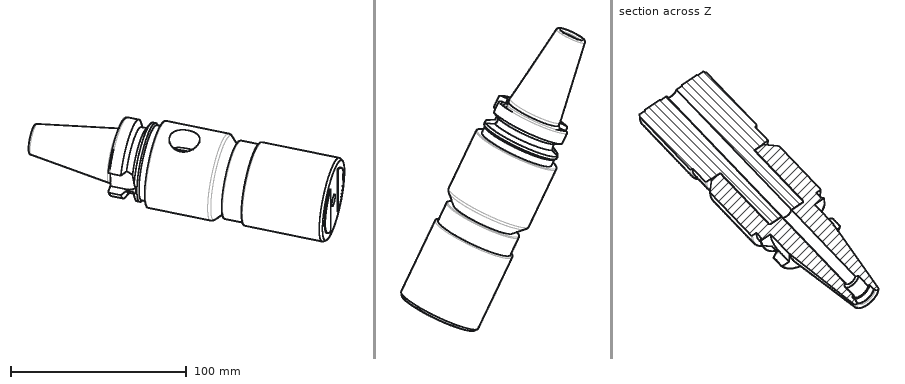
import cadquery as cq
import math

TOTAL_LENGTH = 178.6
THROUGH_BORE_DIAMETER = 7.0

TAPER_LENGTH = 48.8
TAPER_GAUGE_DIAMETER = 31.8
TAPER_END_DIAMETER = 17.7
TAPER_END_RIM_DIAMETER = 15.5

COUNTERBORE_DIAMETER = 13.0
COUNTERBORE_DEPTH = 2.1
PILOT_DIAMETER = 12.5
PILOT_DEPTH = 5.7
CORE_DIAMETER = 10.2
CORE_DEPTH = 14.3
DRILL_POINT_ANGLE = 118.0

FLANGE_DIAMETER = 46.0
FLANGE_START = 50.7
FLANGE_FILLET = 1.0
GROOVE_DIAMETER = 38.2
GROOVE_CENTER = 62.5
GROOVE_FLOOR_WIDTH = 3.8
GROOVE_FLANK_SLOPE = 30.0
FLANGE_END = 69.3
NECK_DIAMETER = 44.0

SLOT_WIDTH = 16.0
SLOT_END = 67.7
SLOT_FLOOR_OFFSET = 16.3

BARREL_DIAMETER = 50.7
BARREL_START = 73.5
BARREL_FILLET = 0.5
BARREL_END = 118.3
BARREL_END_DIAMETER = 37.5
NOSE_ANGLE = 45.0
NOSE_BLEND_RADIUS = 2.3

SCREW_HOLE_DIAMETER = 17.3
SCREW_HOLE_POSITION = 90.0

SHANK_DIAMETER = 24.5
SHANK_START = BARREL_START
CLAMP_FLAT_DEPTH = 0.7
CLAMP_FLAT_TILT = 1.3
CLAMP_FLAT_LENGTH = 21.5

COLLAR_DIAMETER = 45.7
COLLAR_FILLET = 0.5
HEAD_DIAMETER = 48.8
HEAD_START = 130.2
HEAD_FILLET = 0.7
END_CHAMFER_LENGTH = 1.6
END_CHAMFER_DEPTH = 1.0
BOSS_DIAMETER = 38.2
BOSS_HEIGHT = 0.5
BOSS_SLOT_WIDTH = 16.0

FILLET_MIDDLE = 1 - math.sqrt(0.5)


def cylinder_along_x(start, end, diameter):
    return cq.Workplane("YZ").workplane(offset=start).circle(diameter / 2).extrude(end - start)


def revolve_about_x(profile):
    return profile.close().revolve(360, (0, 0, 0), (1, 0, 0))


def holder_outside():
    """Taper, grooved flange and barrel, turned as one profile."""
    gauge_radius = TAPER_GAUGE_DIAMETER / 2
    taper_end_radius = TAPER_END_DIAMETER / 2
    rim_radius = TAPER_END_RIM_DIAMETER / 2
    taper_angle = math.atan((gauge_radius - taper_end_radius) / TAPER_LENGTH)

    end_tangent = taper_end_radius - rim_radius
    end_turn = math.pi / 2 - taper_angle
    end_rounding = end_tangent / math.tan(end_turn / 2)
    end_middle = (
        end_rounding * (1 - math.cos(end_turn / 2)),
        rim_radius + end_rounding * math.sin(end_turn / 2),
    )
    end_finish = (
        end_tangent * math.cos(taper_angle),
        taper_end_radius + end_tangent * math.sin(taper_angle),
    )
    flange_radius = FLANGE_DIAMETER / 2
    groove_radius = GROOVE_DIAMETER / 2
    neck_radius = NECK_DIAMETER / 2
    barrel_radius = BARREL_DIAMETER / 2
    nose_radius = BARREL_END_DIAMETER / 2

    half_floor = GROOVE_FLOOR_WIDTH / 2
    flank_length = (flange_radius - groove_radius) * math.tan(math.radians(GROOVE_FLANK_SLOPE))
    half_mouth = half_floor + flank_length
    rim_chamfer = flange_radius - neck_radius

    nose_corner = BARREL_END - (barrel_radius - nose_radius) / math.tan(math.radians(NOSE_ANGLE))
    blend_tangent = NOSE_BLEND_RADIUS * math.tan(math.radians(NOSE_ANGLE / 2))
    blend_start = nose_corner - blend_tangent
    blend_center_radius = barrel_radius - NOSE_BLEND_RADIUS

    def blend_point(degrees):
        angle = math.radians(degrees)
        return (
            blend_start + NOSE_BLEND_RADIUS * math.sin(angle),
            blend_center_radius + NOSE_BLEND_RADIUS * math.cos(angle),
        )

    profile = (
        cq.Workplane("XY")
        .moveTo(0, 0)
        .lineTo(0, rim_radius)
        .threePointArc(end_middle, end_finish)
        .lineTo(TAPER_LENGTH, gauge_radius)
        .lineTo(FLANGE_START, gauge_radius)
        .lineTo(FLANGE_START, flange_radius - FLANGE_FILLET)
        .threePointArc(
            (FLANGE_START + FLANGE_FILLET * FILLET_MIDDLE, flange_radius - FLANGE_FILLET * FILLET_MIDDLE),
            (FLANGE_START + FLANGE_FILLET, flange_radius),
        )
        .lineTo(GROOVE_CENTER - half_mouth, flange_radius)
        .lineTo(GROOVE_CENTER - half_floor, groove_radius)
        .lineTo(GROOVE_CENTER + half_floor, groove_radius)
        .lineTo(GROOVE_CENTER + half_mouth, flange_radius)
        .lineTo(FLANGE_END - rim_chamfer, flange_radius)
        .lineTo(FLANGE_END, neck_radius)
        .lineTo(BARREL_START, neck_radius)
        .lineTo(BARREL_START, barrel_radius - BARREL_FILLET)
        .threePointArc(
            (BARREL_START + BARREL_FILLET * FILLET_MIDDLE, barrel_radius - BARREL_FILLET * FILLET_MIDDLE),
            (BARREL_START + BARREL_FILLET, barrel_radius),
        )
        .lineTo(blend_start, barrel_radius)
        .threePointArc(blend_point(NOSE_ANGLE / 2), blend_point(NOSE_ANGLE))
        .lineTo(BARREL_END, nose_radius)
        .lineTo(BARREL_END, 0)
    )
    return revolve_about_x(profile)


def taper_bore():
    """Stepped bore with a rounded mouth; a drill cone leads into the through bore."""
    counterbore_radius = COUNTERBORE_DIAMETER / 2
    pilot_radius = PILOT_DIAMETER / 2
    core_radius = CORE_DIAMETER / 2
    through_radius = THROUGH_BORE_DIAMETER / 2
    rim_radius = TAPER_END_RIM_DIAMETER / 2
    mouth_rounding = rim_radius - counterbore_radius
    mouth_middle = mouth_rounding * FILLET_MIDDLE
    cone_length = (core_radius - through_radius) / math.tan(math.radians(DRILL_POINT_ANGLE / 2))
    profile = (
        cq.Workplane("XY")
        .moveTo(0, 0)
        .lineTo(0, rim_radius)
        .threePointArc(
            (mouth_middle, counterbore_radius + mouth_middle),
            (mouth_rounding, counterbore_radius),
        )
        .lineTo(COUNTERBORE_DEPTH, counterbore_radius)
        .lineTo(COUNTERBORE_DEPTH, pilot_radius)
        .lineTo(PILOT_DEPTH, pilot_radius)
        .lineTo(PILOT_DEPTH, core_radius)
        .lineTo(CORE_DEPTH, core_radius)
        .lineTo(CORE_DEPTH + cone_length, through_radius)
        .lineTo(SHANK_START, through_radius)
        .lineTo(SHANK_START, 0)
    )
    return revolve_about_x(profile)


def drive_slot(side):
    """Round-ended slot through the flange; side is +1 or -1 along Y."""
    slot_radius = SLOT_WIDTH / 2
    arc_center = SLOT_END - slot_radius
    depth = FLANGE_DIAMETER / 2
    slot = (
        cq.Workplane("XZ")
        .moveTo(FLANGE_START, -slot_radius)
        .lineTo(arc_center, -slot_radius)
        .threePointArc((SLOT_END, 0), (arc_center, slot_radius))
        .lineTo(FLANGE_START, slot_radius)
        .close()
        .extrude(-depth)
        .translate((0, SLOT_FLOOR_OFFSET, 0))
    )
    return slot if side > 0 else slot.mirror("XZ")


def screw_hole():
    return (
        cq.Workplane("XY")
        .center(SCREW_HOLE_POSITION, 0)
        .circle(SCREW_HOLE_DIAMETER / 2)
        .extrude(BARREL_DIAMETER)
    )


def make_holder():
    holder = holder_outside().cut(taper_bore())
    holder = holder.cut(cylinder_along_x(SHANK_START, BARREL_END, SHANK_DIAMETER))
    for side in (1, -1):
        holder = holder.cut(drive_slot(side))
    return holder.cut(screw_hole())


def clamp_flat():
    """Tilted block that cuts the flat under the clamping screw."""
    flat_height = SHANK_DIAMETER / 2 - CLAMP_FLAT_DEPTH
    return (
        cq.Workplane("XY")
        .box(CLAMP_FLAT_LENGTH, SHANK_DIAMETER, SHANK_DIAMETER, centered=(True, True, False))
        .rotate((0, 0, 0), (0, 1, 0), CLAMP_FLAT_TILT)
        .translate((SCREW_HOLE_POSITION, 0, flat_height))
    )


def end_boss():
    """Low round boss on the end face, parted by a slot along Z."""
    boss_start = TOTAL_LENGTH - BOSS_HEIGHT
    slot = cq.Workplane("XY").box(BOSS_HEIGHT, BOSS_SLOT_WIDTH, BOSS_DIAMETER)
    slot = slot.translate((TOTAL_LENGTH - BOSS_HEIGHT / 2, 0, 0))
    return cylinder_along_x(boss_start, TOTAL_LENGTH, BOSS_DIAMETER).cut(slot)


def make_adapter():
    head_end = TOTAL_LENGTH - BOSS_HEIGHT
    shank = cylinder_along_x(SHANK_START, BARREL_END, SHANK_DIAMETER).cut(clamp_flat())
    collar = cylinder_along_x(BARREL_END, HEAD_START, COLLAR_DIAMETER)
    collar = collar.faces("<X").edges().fillet(COLLAR_FILLET)
    head = cylinder_along_x(HEAD_START, head_end, HEAD_DIAMETER)
    head = head.faces("<X").edges().fillet(HEAD_FILLET)
    head = head.faces(">X").edges().chamfer(END_CHAMFER_LENGTH, END_CHAMFER_DEPTH)
    adapter = shank.union(collar).union(head).union(end_boss())
    return adapter.cut(cylinder_along_x(SHANK_START, TOTAL_LENGTH, THROUGH_BORE_DIAMETER))


holder = make_holder().solids().val()
adapter = make_adapter().solids().val()

result = cq.Compound.makeCompound([holder, adapter])